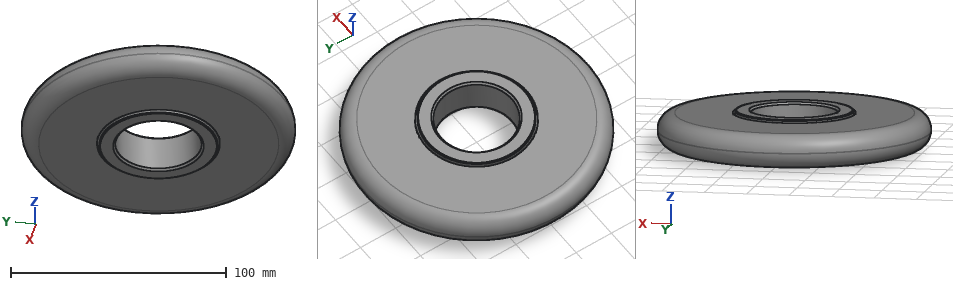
import cadquery as cq

wheel_diameter = 127.0
wheel_width = 16.0
hub_width = 18.5

bore_diameter = 40.0
hub_diameter = 57.0
hub_end_diameter = 55.0
hub_shoulder_width = 13.0

rim_fillet = 7.9
bore_chamfer = 1.0
hub_chamfer = 0.5


def build_wheel():
    """Disc with a plain bore and a rounded rim that keeps a narrow land at mid-width."""
    return (
        cq.Workplane("XY")
        .circle(wheel_diameter / 2)
        .circle(hub_diameter / 2)
        .extrude(wheel_width / 2, both=True)
        .edges(cq.selectors.RadiusNthSelector(-1))
        .fillet(rim_fillet)
    )


def build_hub():
    """Bored sleeve whose narrower ends meet the full diameter in concave fillets."""
    bore_radius = bore_diameter / 2
    hub_radius = hub_diameter / 2
    end_radius = hub_end_diameter / 2
    bore_mouth_radius = bore_radius + bore_chamfer
    end_face_radius = end_radius - hub_chamfer

    step_fillet = hub_radius - end_radius
    shoulder_z = hub_shoulder_width / 2
    fillet_top_z = shoulder_z + step_fillet
    end_z = hub_width / 2
    chamfer_z = end_z - hub_chamfer
    bore_chamfer_z = end_z - bore_chamfer

    return (
        cq.Workplane("XZ")
        .moveTo(bore_radius, bore_chamfer_z)
        .lineTo(bore_mouth_radius, end_z)
        .lineTo(end_face_radius, end_z)
        .lineTo(end_radius, chamfer_z)
        .lineTo(end_radius, fillet_top_z)
        .radiusArc((hub_radius, shoulder_z), -step_fillet)
        .lineTo(hub_radius, -shoulder_z)
        .radiusArc((end_radius, -fillet_top_z), -step_fillet)
        .lineTo(end_radius, -chamfer_z)
        .lineTo(end_face_radius, -end_z)
        .lineTo(bore_mouth_radius, -end_z)
        .lineTo(bore_radius, -bore_chamfer_z)
        .close()
        .revolve(360, (0, 0, 0), (0, 1, 0))
    )


wheel = build_wheel()
hub = build_hub()
result = cq.Compound.makeCompound([wheel.solids().val(), hub.solids().val()])